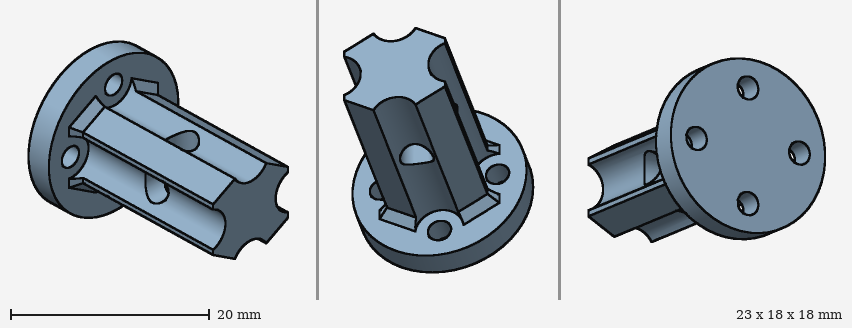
import cadquery as cq
import math

total_length = 23.0
flange_diameter = 18.0
flange_thickness = 3.0
bolt_circle_radius = 6.0
bolt_hole_diameter = 2.4
groove_radius = 2.5
collar_size = 1.0
cross_hole_diameter = 3.4
cross_hole_x = 13.0

hex_corner_diameter = 2 * bolt_circle_radius
collar_corner_diameter = hex_corner_diameter + 2 * collar_size / math.cos(math.radians(30))
shaft_length = total_length - flange_thickness
bolt_positions = [
    (bolt_circle_radius, 0),
    (0, bolt_circle_radius),
    (-bolt_circle_radius, 0),
    (0, -bolt_circle_radius),
]


def make_flange():
    """Round flange, before its bolt holes are drilled."""
    return cq.Workplane("YZ").circle(flange_diameter / 2).extrude(flange_thickness)


def make_shaft():
    """Hexagonal shaft with corners at +Z and -Z, flared where it meets the flange."""
    flange_face = cq.Workplane("YZ", origin=(flange_thickness, 0, 0)).transformed(rotate=(0, 0, 90))
    shaft = flange_face.polygon(6, hex_corner_diameter).extrude(shaft_length)
    collar = (
        flange_face.polygon(6, collar_corner_diameter)
        .workplane(offset=collar_size)
        .polygon(6, hex_corner_diameter)
        .loft(ruled=True)
    )
    return shaft.union(collar)


def make_grooves():
    """Screw clearance grooves along the shaft, in line with the bolt holes."""
    return (
        cq.Workplane("YZ", origin=(flange_thickness, 0, 0))
        .pushPoints(bolt_positions)
        .circle(groove_radius)
        .extrude(shaft_length)
    )


def make_bolt_holes():
    """Through holes in the flange."""
    return (
        cq.Workplane("YZ")
        .pushPoints(bolt_positions)
        .circle(bolt_hole_diameter / 2)
        .extrude(flange_thickness)
    )


def make_cross_hole(plane):
    """Hole through the whole shaft, along the normal of the given plane."""
    return (
        cq.Workplane(plane)
        .center(cross_hole_x, 0)
        .circle(cross_hole_diameter / 2)
        .extrude(flange_diameter / 2, both=True)
    )


shaft = make_shaft().cut(make_grooves())
for plane in ("XY", "XZ"):
    shaft = shaft.cut(make_cross_hole(plane))

result = make_flange().union(shaft).cut(make_bolt_holes())